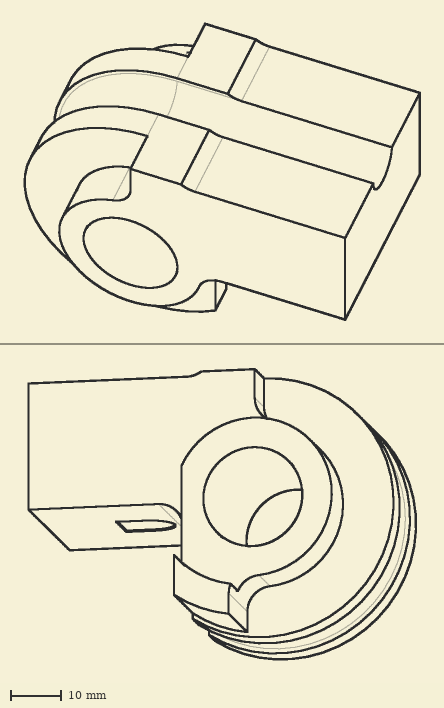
import cadquery as cq
import math

length = 72.0
wheel_radius = 26.2
wheel_half_width = 10.95
bore_diameter = 20.0
body_half_width = 20.0
corner_radius = 5.0

arm_end = length - wheel_radius
arm_top = 25.3
arm_bottom = -0.3
step_start = 10.8
step_fillet_radius = 5.1

groove_radius = 5.0
groove_centre_radius = arm_top

front_boss_radius = 15.2
back_boss_radius = 16.0
back_boss_face = 21.9
flat_x = 14.5
stop_left = 3.4
stop_inner_radius = 19.2
stop_outer_radius = 25.3
stop_face = 29.0


def extrude_y(outline, y_start, y_end):
    """Extrude an XZ outline between two Y planes."""
    plane = cq.Workplane("XZ", origin=(0, y_end, 0))
    return outline(plane).extrude(y_end - y_start)


def disc(radius, y_start, y_end):
    return extrude_y(lambda plane: plane.circle(radius), y_start, y_end)


def arc_middle(centre, radius, start, end):
    """Midpoint of the shorter arc from start to end."""
    dx = (start[0] + end[0]) / 2 - centre[0]
    dz = (start[1] + end[1]) / 2 - centre[1]
    scale = radius / math.hypot(dx, dz)
    return (centre[0] + dx * scale, centre[1] + dz * scale)


def boss_tangent(boss_radius, centre):
    """Point where a concave corner arc touches the boss circle."""
    scale = boss_radius / math.hypot(*centre)
    return (centre[0] * scale, centre[1] * scale)


def wall_corner(boss_radius, wall_x, side):
    """Corner arc between the boss and an upright wall; side is +1 above the axis, -1 below."""
    centre_x = wall_x - corner_radius
    centre_z = side * math.sqrt((boss_radius + corner_radius) ** 2 - centre_x**2)
    centre = (centre_x, centre_z)
    start = boss_tangent(boss_radius, centre)
    end = (wall_x, centre_z)
    return start, arc_middle(centre, corner_radius, start, end), end


def top_corner(boss_radius):
    """Outline filling the corner between the boss and the upright arm face at x = 0."""
    start, middle, end = wall_corner(boss_radius, 0, 1)
    return lambda plane: plane.lineTo(*start).threePointArc(middle, end).close()


def arm_outline(plane):
    centre_z = arm_bottom - corner_radius
    centre_x = math.sqrt((front_boss_radius + corner_radius) ** 2 - centre_z**2)
    centre = (centre_x, centre_z)
    on_boss = boss_tangent(front_boss_radius, centre)
    on_arm = (centre_x, arm_bottom)
    middle = arc_middle(centre, corner_radius, on_boss, on_arm)

    step_height = wheel_radius - arm_top
    step_length = math.sqrt(2 * step_fillet_radius * step_height - step_height**2)
    step_top = (step_start, wheel_radius)
    step_foot = (step_start + step_length, arm_top)
    step_centre = (step_foot[0], arm_top + step_fillet_radius)
    step_middle = arc_middle(step_centre, step_fillet_radius, step_top, step_foot)
    return (
        plane.lineTo(*on_boss)
        .threePointArc(middle, on_arm)
        .lineTo(arm_end, arm_bottom)
        .lineTo(arm_end, arm_top)
        .lineTo(*step_foot)
        .threePointArc(step_middle, step_top)
        .lineTo(0, wheel_radius)
        .close()
    )


def stop_outline(plane):
    start, middle, end = wall_corner(back_boss_radius, stop_left, -1)
    outer_left = (stop_left, -math.sqrt(stop_outer_radius**2 - stop_left**2))
    outer_right = (flat_x, -math.sqrt(stop_outer_radius**2 - flat_x**2))
    outer_middle = arc_middle((0, 0), stop_outer_radius, outer_left, outer_right)
    return (
        plane.lineTo(*start)
        .threePointArc(middle, end)
        .lineTo(*outer_left)
        .threePointArc(outer_middle, outer_right)
        .lineTo(flat_x, 0)
        .close()
    )


def make_wheel_and_back():
    """Wheel, back boss and stop, all trimmed by the flat at flat_x."""
    body = disc(wheel_radius, -wheel_half_width, wheel_half_width)
    body = body.union(disc(back_boss_radius, wheel_half_width, back_boss_face))
    trim_length = flat_x + wheel_radius
    trim = cq.Workplane("XY").box(trim_length, 2 * stop_face, 2 * wheel_radius)
    body = body.intersect(trim.translate((flat_x - trim_length / 2, 0, 0)))
    body = body.union(extrude_y(stop_outline, wheel_half_width, back_boss_face))
    stop = extrude_y(stop_outline, back_boss_face, stop_face)
    return body.union(stop.cut(disc(stop_inner_radius, back_boss_face, stop_face)))


def make_arm_and_front():
    body = extrude_y(arm_outline, -body_half_width, body_half_width)
    body = body.union(disc(front_boss_radius, -body_half_width, wheel_half_width))
    body = body.union(extrude_y(top_corner(front_boss_radius), -body_half_width, 0))
    return body.union(extrude_y(top_corner(back_boss_radius), 0, body_half_width))


def groove_section(plane):
    """U-shaped section, open beyond the rim, with Y across and Z away from the axis."""
    open_end = wheel_radius + groove_radius
    return (
        plane.moveTo(-groove_radius, open_end)
        .lineTo(-groove_radius, groove_centre_radius)
        .threePointArc(
            (0, groove_centre_radius - groove_radius), (groove_radius, groove_centre_radius)
        )
        .lineTo(groove_radius, open_end)
        .close()
    )


def make_groove():
    """Half turn around the wheel, continued straight along the arm."""
    straight = groove_section(cq.Workplane("YZ")).extrude(arm_end)
    ring = groove_section(cq.Workplane("YZ")).revolve(360, (0, 0, 0), (1, 0, 0))
    keep_x = cq.Workplane("XY").box(2 * length, length, 2 * length)
    left_half = keep_x.translate((-length, 0, 0))
    lower_half = keep_x.translate((0, 0, -length))
    return straight.union(ring.intersect(left_half.union(lower_half)))


body = make_wheel_and_back().union(make_arm_and_front())
bore = disc(bore_diameter / 2, -body_half_width, stop_face)
result = body.cut(make_groove()).cut(bore)